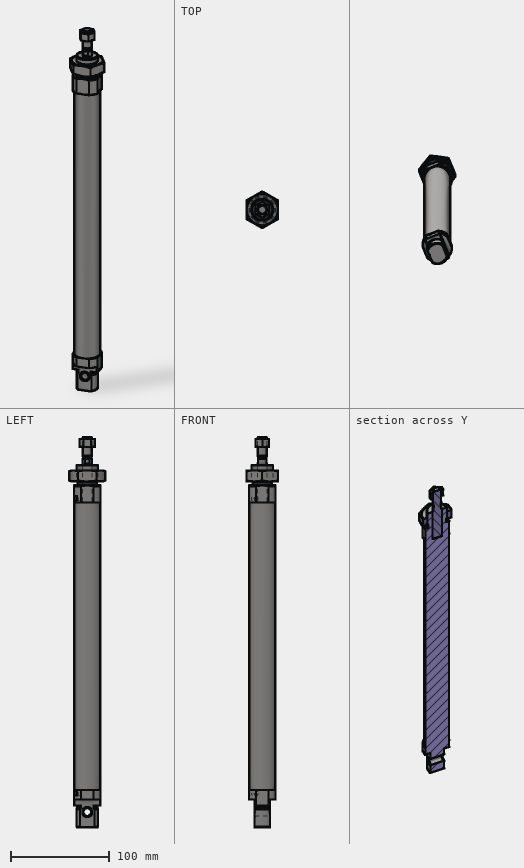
import cadquery as cq
import math

overall_length = 395.5
rod_thread_length = 22.0
shoulder_to_head = 26.5
gland_length = 20.5
front_head_length = 17.5
rear_head_top = 38.0
rear_head_step = 28.0
rear_head_bottom = 22.0

shoulder_z = overall_length - rod_thread_length
front_head_top = shoulder_z - shoulder_to_head
front_head_bottom = front_head_top - front_head_length
gland_top = front_head_top + gland_length

tube_diameter = 26.5
head_diameter = 30.0
head_across_flats = 27.0
head_rim_diameter = 25.0
head_rim_height = 1.3
eye_width = 16.0
pin_hole_diameter = 8.0
pin_hole_rim_diameter = 10.0
pin_hole_rim_depth = 1.0
pin_hole_z = 15.5
port_diameter = 5.0
port_depth = 5.0
port_angle = 128.0
front_port_z = 333.5
rear_port_z = 34.6

body_thread_diameter = 22.0
body_thread_minor = 20.38
body_relief_diameter = 19.7
rod_diameter = 10.0
rod_thread_diameter = 9.53
rod_thread_tip = 8.38
rod_relief_diameter = 7.7
gland_relief_length = 4.7
rod_relief_length = 3.5
eye_neck_length = 3.9
relief_cone_length = 2.0

rod_across_flats = 9.0
rod_flats_bottom = 368.7

mounting_nut_across_flats = 32.0
mounting_nut_face_diameter = 31.5
mounting_nut_thickness = 11.3
mounting_nut_top = 361.9
nut_chamfer_angle = 20.0
rod_nut_across_flats = 14.0
rod_nut_thickness = 8.0
rod_nut_top = 393.7


def cylinder(diameter, bottom, top):
    return cq.Workplane("XY").workplane(offset=bottom).circle(diameter / 2).extrude(top - bottom)


def box(x_size, y_size, bottom, top):
    return cq.Workplane("XY").workplane(offset=bottom).rect(x_size, y_size).extrude(top - bottom)


def threaded_stud(diameter, minor, relief, relief_length, base, tip):
    """Stud along Z from its relief groove at base to its chamfered tip; tip may lie below base."""
    direction = math.copysign(1, tip - base)
    chamfer = (diameter - minor) / 2
    profile = [
        (0, base),
        (relief / 2, base),
        (relief / 2, base + direction * (relief_length - relief_cone_length)),
        (diameter / 2, base + direction * relief_length),
        (diameter / 2, tip - direction * chamfer),
        (minor / 2, tip),
        (0, tip),
    ]
    return cq.Workplane("XZ").polyline(profile).close().revolve(360, (0, 0, 0), (0, 1, 0))


def head(bottom, top):
    """Round cylinder head with four wrench flats."""
    flats = box(head_across_flats, head_across_flats, bottom, top)
    return cylinder(head_diameter, bottom, top).intersect(flats)


def port(z):
    """Blind radial port hole cut from the round part of a head."""
    angle = math.radians(port_angle)
    outward = cq.Vector(math.cos(angle), math.sin(angle), 0)
    floor = outward * (head_diameter / 2 - port_depth) + cq.Vector(0, 0, z)
    return cq.Workplane(cq.Plane(floor, normal=outward)).circle(port_diameter / 2).extrude(2 * port_depth)


def hex_nut(across_flats, bore, bottom, thickness):
    """Plain hexagon nut with two flats facing X."""
    corners = across_flats / math.cos(math.radians(30))
    hexagon = cq.Workplane("XY").workplane(offset=bottom).polygon(6, corners).extrude(thickness)
    hexagon = hexagon.rotate((0, 0, 0), (0, 0, 1), 30)
    return hexagon.cut(cylinder(bore, bottom, bottom + thickness))


def make_cylinder_body():
    tube = cylinder(tube_diameter, rear_head_top, front_head_bottom)

    rim = cq.Workplane("XY").workplane(offset=front_head_top - head_rim_height)
    rim = rim.circle(head_diameter / 2).workplane(offset=head_rim_height).circle(head_rim_diameter / 2).loft()
    front_head = head(front_head_bottom, front_head_top - head_rim_height)
    front_head = front_head.union(rim.intersect(head(front_head_bottom, front_head_top)))
    gland = threaded_stud(
        body_thread_diameter, body_thread_minor, body_relief_diameter,
        gland_relief_length, front_head_top, gland_top,
    )

    rear_head = head(rear_head_step, rear_head_top)
    rear_lug = head(rear_head_bottom, rear_head_step)
    eye = threaded_stud(
        body_thread_diameter, body_thread_minor, body_thread_minor,
        eye_neck_length, rear_head_bottom, 0,
    )
    eye = rear_lug.union(eye).intersect(box(eye_width, head_diameter, 0, rear_head_step))

    body = tube.union(front_head).union(gland).union(rear_head).union(eye)

    pin_axis = cq.Workplane("YZ").center(0, pin_hole_z)
    body = body.cut(pin_axis.circle(pin_hole_diameter / 2).extrude(eye_width / 2, both=True))
    for side in (-1, 1):
        mouth = cq.Workplane("YZ").workplane(offset=side * eye_width / 2).center(0, pin_hole_z)
        body = body.cut(mouth.circle(pin_hole_rim_diameter / 2).extrude(-side * pin_hole_rim_depth))

    for z in (front_port_z, rear_port_z):
        body = body.cut(port(z))

    return body.cut(cylinder(rod_diameter, front_head_bottom, gland_top))


def make_piston_rod():
    shaft = cylinder(rod_diameter, front_head_bottom, shoulder_z)
    flats = box(rod_across_flats, rod_diameter, rod_flats_bottom, shoulder_z)
    shaft = shaft.intersect(flats.union(cylinder(rod_diameter, front_head_bottom, rod_flats_bottom)))
    stud = threaded_stud(rod_thread_diameter, rod_thread_tip, rod_relief_diameter,
                         rod_relief_length, shoulder_z, overall_length)
    return shaft.union(stud)


def make_mounting_nut():
    """Hexagon nut on the gland with its corners chamfered at both ends."""
    bottom = mounting_nut_top - mounting_nut_thickness
    face_radius = mounting_nut_face_diameter / 2
    corner_radius = mounting_nut_across_flats / 2 / math.cos(math.radians(30))
    drop = (corner_radius - face_radius) * math.tan(math.radians(nut_chamfer_angle))
    profile = [
        (0, bottom),
        (face_radius, bottom),
        (corner_radius, bottom + drop),
        (corner_radius, mounting_nut_top - drop),
        (face_radius, mounting_nut_top),
        (0, mounting_nut_top),
    ]
    envelope = cq.Workplane("XZ").polyline(profile).close().revolve(360, (0, 0, 0), (0, 1, 0))
    nut = hex_nut(mounting_nut_across_flats, body_thread_diameter, bottom, mounting_nut_thickness)
    return nut.intersect(envelope)


def make_rod_nut():
    bottom = rod_nut_top - rod_nut_thickness
    return hex_nut(rod_nut_across_flats, rod_thread_diameter, bottom, rod_nut_thickness)


cylinder_body = make_cylinder_body()
piston_rod = make_piston_rod()
mounting_nut = make_mounting_nut()
rod_nut = make_rod_nut()

result = cq.Compound.makeCompound(
    [cylinder_body.val(), piston_rod.val(), mounting_nut.val(), rod_nut.val()]
)